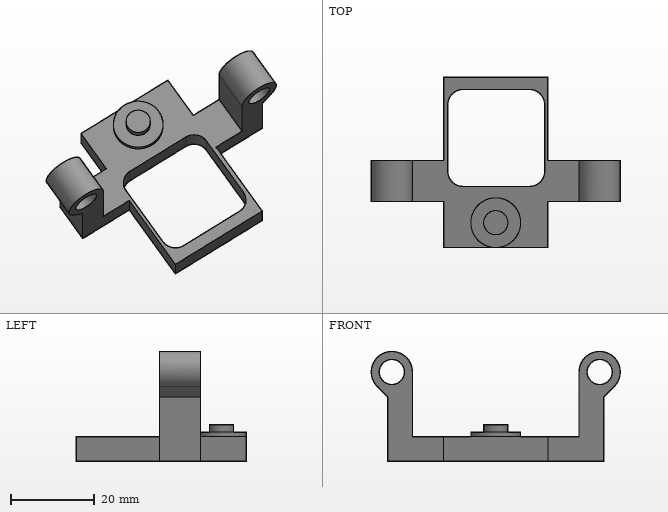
import cadquery as cq
import math

total_width = 60.0
total_depth = 41.0
total_height = 26.5

plate_width = 25.15
plate_thickness = 6.0
window_size = 23.3
window_offset = 0.1
window_corner_radius = 3.6
rear_wall = 3.0

arm_front = 11.05
arm_depth = 9.95
arm_thickness = 6.0
eye_diameter = 9.95
eye_bore = 6.0

pad_diameter = 12.0
pad_height = 1.1
pin_diameter = 5.8
pin_height = 1.8

eye_radius = eye_diameter / 2
eye_x = total_width / 2 - eye_radius
eye_z = total_height - eye_radius
arm_inner_x = eye_x - eye_radius
arm_outer_x = arm_inner_x + arm_thickness


def make_plate():
    window_y = total_depth - rear_wall - window_size / 2
    plate = cq.Workplane("XY").box(
        plate_width, total_depth, plate_thickness, centered=(True, False, False)
    )
    window = (
        cq.Workplane("XY")
        .center(window_offset, window_y)
        .rect(window_size, window_size)
        .extrude(plate_thickness)
        .edges("|Z")
        .fillet(window_corner_radius)
    )
    return plate.cut(window)


def make_arm():
    """Right-hand L-shaped arm, from the plate edge up to the eye."""
    tangent_offset = eye_radius * math.sqrt(0.5)
    flank_foot_z = eye_z - eye_radius * math.sqrt(2) + (arm_outer_x - eye_x)
    arm = (
        cq.Workplane("XZ", origin=(0, arm_front + arm_depth, 0))
        .moveTo(plate_width / 2, 0)
        .lineTo(arm_outer_x, 0)
        .lineTo(arm_outer_x, flank_foot_z)
        .lineTo(eye_x + tangent_offset, eye_z - tangent_offset)
        .threePointArc((eye_x, eye_z + eye_radius), (arm_inner_x, eye_z))
        .lineTo(arm_inner_x, plate_thickness)
        .lineTo(plate_width / 2, plate_thickness)
        .close()
        .extrude(arm_depth)
    )
    bore = (
        cq.Workplane("XZ", origin=(eye_x, arm_front + arm_depth, eye_z))
        .circle(eye_bore / 2)
        .extrude(arm_depth)
    )
    return arm.cut(bore)


def make_pad_and_pin():
    return (
        cq.Workplane("XY", origin=(0, pad_diameter / 2, plate_thickness))
        .circle(pad_diameter / 2)
        .extrude(pad_height)
        .faces(">Z")
        .workplane()
        .circle(pin_diameter / 2)
        .extrude(pin_height)
    )


right_arm = make_arm()
left_arm = right_arm.mirror("YZ")
result = make_plate().union(right_arm).union(left_arm).union(make_pad_and_pin())